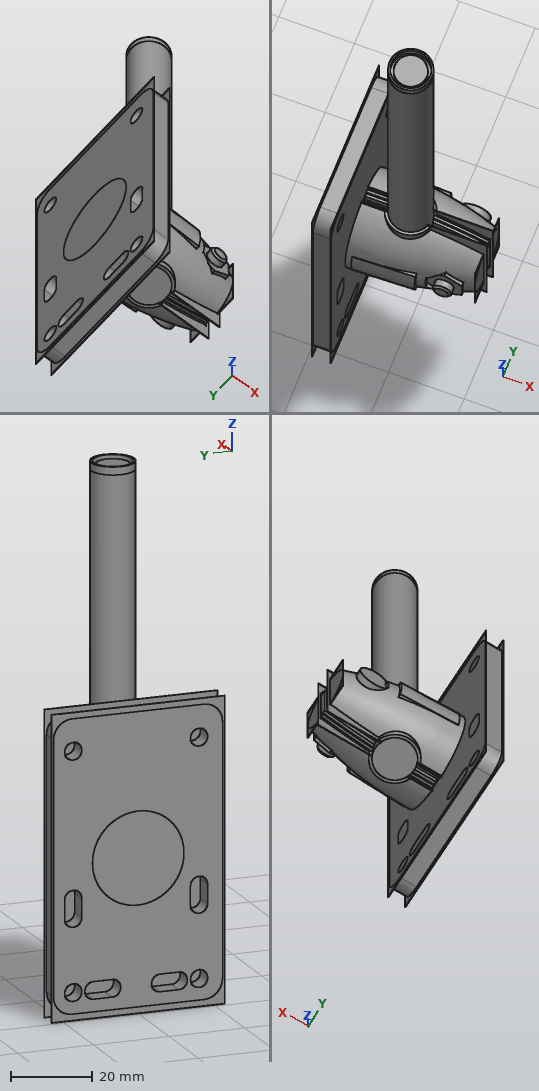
import cadquery as cq
import math

OVERALL_X = 38.2
OVERALL_Z = 137.5
SKIN = 0.1

SHEET_WIDTH = 45.8
SHEET_HEIGHT = 79.3
CORE_WIDTH = 44.7
CORE_HEIGHT = 76.0
CORE_CORNER = 5.0
PLATE_THICKNESS = 5.1
PLATE_CENTER_Z = SHEET_HEIGHT / 2

PATTERN_SHIFT_Y = 0.5
HOLE_DIAMETER = 4.5
HOLE_Y = 16.6
UPPER_HOLE_Z = 29.7
LOWER_HOLE_Z = -32.5
SLOT_LENGTH = 9.5
UPRIGHT_SLOT_Z = -10.9
LEVEL_SLOT_Y = 8.8
OPENING_DEPTH = PLATE_THICKNESS - SKIN

AXIS_Z = 40.0
SPIGOT_RADIUS = 12.1
CLAMP_BASE_RADIUS = 13.2
CLAMP_MID_X = 20.9
CLAMP_MID_RADIUS = 12.2
CLAMP_END_X = 37.4
CLAMP_END_RADIUS = 8.2
SLIT_WIDTH = 0.8
SLIT_STEPS = [(4.1, 0.8), (2.5, 1.6)]
FIN_SPACING = SLIT_STEPS[0][0]
FIN_HALF_HEIGHT = 13.7
PAD_START_X = 6.7
PAD_LENGTH = 16.5
PAD_HEIGHT = 7.7
PAD_START_RADIUS = 13.3
PAD_END_RADIUS = 12.8
COLLAR_RADIUS = 6.5

POST_X = 17.3
POST_RADIUS = 5.6
CAP_HEIGHT = 2.0
CAP_RIM = 0.5
CAP_CHANNEL_DEPTH = 1.6
CAP_BUTTON_RADIUS = 4.3
CAP_BUTTON_DEPTH = 0.8

BOLT_X = 30.1
BOLT_RADIUS = 2.5
BOLT_TIP_CHAMFER = 0.5
BOLT_TIP_Y = -12.2
HEAD_RADIUS = 4.1
HEAD_FACE_Y = 11.1
SEAT_Y = 7.3
NUT_ACROSS_FLATS = 9.1
NUT_FACE_Y = -9.9

POST_BOTTOM_Z = AXIS_Z - CLAMP_BASE_RADIUS
POST_TOP_Z = OVERALL_Z - CAP_HEIGHT


def box(x_range, y_range, z_range):
    """Axis-aligned box between the given pairs of limits."""
    corner = (x_range[0], y_range[0], z_range[0])
    size = (x_range[1] - x_range[0], y_range[1] - y_range[0], z_range[1] - z_range[0])
    return cq.Workplane("XY").box(*size, centered=False).translate(corner)


def cylinder_x(radius, x_start, x_end):
    plane = cq.Workplane("YZ", origin=(x_start, 0, AXIS_Z))
    return plane.circle(radius).extrude(x_end - x_start)


def cylinder_z(radius, z_start, z_end):
    plane = cq.Workplane("XY", origin=(POST_X, 0, z_start))
    return plane.circle(radius).extrude(z_end - z_start)


def bolt_cylinder(radius, y_start, y_end):
    """Cylinder on the bolt axis, running from y_start towards -Y."""
    plane = cq.Workplane("XZ", origin=(BOLT_X, y_start, AXIS_Z))
    return plane.circle(radius).extrude(y_start - y_end)


def bolt_shank():
    return bolt_cylinder(BOLT_RADIUS, SEAT_Y, BOLT_TIP_Y)


def nut_hexagon(y_end):
    """Hexagonal prism from the nut seat towards -Y, with two corners pointing up and down."""
    across_corners = NUT_ACROSS_FLATS / math.cos(math.radians(30))
    plane = cq.Workplane("XZ", origin=(BOLT_X, -SEAT_Y, AXIS_Z)).transformed(rotate=(0, 0, 90))
    return plane.polygon(6, across_corners).extrude(-SEAT_Y - y_end)


def make_post():
    return cylinder_z(POST_RADIUS, POST_BOTTOM_Z, POST_TOP_Z)


def make_cap():
    """Disc with a raised rim, a ring channel and a button set below the rim."""
    disc = cylinder_z(POST_RADIUS, POST_TOP_Z, OVERALL_Z)
    recess = cylinder_z(POST_RADIUS - CAP_RIM, OVERALL_Z - CAP_CHANNEL_DEPTH, OVERALL_Z)
    button = cylinder_z(CAP_BUTTON_RADIUS, POST_TOP_Z, OVERALL_Z - CAP_BUTTON_DEPTH)
    return disc.cut(recess).union(button)


def make_bolt():
    shank = bolt_shank().faces("<Y").chamfer(BOLT_TIP_CHAMFER)
    return shank.union(bolt_cylinder(HEAD_RADIUS, HEAD_FACE_Y, SEAT_Y))


def make_nut():
    return nut_hexagon(NUT_FACE_Y).cut(bolt_shank())


def turned(profile):
    """Solid of revolution about the clamp axis from a profile in X and radius."""
    return profile.revolve(360, (0, 0, 0), (1, 0, 0)).translate((0, 0, AXIS_Z))


def clamp_bulge(inset):
    """Bulged body, with its curved surface moved inwards by the inset."""
    return turned(
        cq.Workplane("XY")
        .moveTo(PLATE_THICKNESS, 0)
        .lineTo(PLATE_THICKNESS, CLAMP_BASE_RADIUS - inset)
        .threePointArc(
            (CLAMP_MID_X, CLAMP_MID_RADIUS - inset),
            (CLAMP_END_X, CLAMP_END_RADIUS - inset),
        )
        .lineTo(CLAMP_END_X, 0)
        .close()
    )


def clamp_pads():
    """Slightly tapered pads on both flanks."""
    pad_end_x = PAD_START_X + PAD_LENGTH
    taper = turned(
        cq.Workplane("XY")
        .moveTo(PAD_START_X, 0)
        .lineTo(PAD_START_X, PAD_START_RADIUS)
        .lineTo(pad_end_x, PAD_END_RADIUS)
        .lineTo(pad_end_x, 0)
        .close()
    )
    pad_z = (AXIS_Z - PAD_HEIGHT / 2, AXIS_Z + PAD_HEIGHT / 2)
    return taper.intersect(box((PAD_START_X, pad_end_x), (-PAD_START_RADIUS, PAD_START_RADIUS), pad_z))


def slit_slab(width):
    """Slab on the middle plane, over the whole length and height of the clamp in front of the plate."""
    slab_z = (AXIS_Z - FIN_HALF_HEIGHT, AXIS_Z + FIN_HALF_HEIGHT)
    return box((PLATE_THICKNESS, OVERALL_X), (-width / 2, width / 2), slab_z)


def stepped_slit():
    slit = slit_slab(SLIT_WIDTH)
    for width, depth in SLIT_STEPS:
        slit = slit.union(slit_slab(width).cut(clamp_bulge(depth)))
    return slit


def clamp_fins():
    """Thin sheets along both sides of the slit opening, standing out of the body."""
    return slit_slab(FIN_SPACING + 2 * SKIN).cut(slit_slab(FIN_SPACING))


def clamp_end_sheet():
    """Thin square sheet over the round free end."""
    sheet_x = (CLAMP_END_X, CLAMP_END_X + SKIN)
    sheet_z = (AXIS_Z - CLAMP_END_RADIUS, AXIS_Z + CLAMP_END_RADIUS)
    return box(sheet_x, (-CLAMP_END_RADIUS, CLAMP_END_RADIUS), sheet_z)


def make_clamp(bolt):
    spigot = cylinder_x(SPIGOT_RADIUS, 0, PLATE_THICKNESS)
    collar = cylinder_z(COLLAR_RADIUS, POST_BOTTOM_Z, AXIS_Z + CLAMP_BASE_RADIUS)
    clamp = spigot.union(clamp_bulge(0)).union(clamp_pads()).union(collar).union(clamp_end_sheet())
    clamp = clamp.cut(stepped_slit()).union(clamp_fins())
    post_bore = cylinder_z(POST_RADIUS, AXIS_Z - FIN_HALF_HEIGHT, AXIS_Z + FIN_HALF_HEIGHT)
    nut_pocket = nut_hexagon(-CLAMP_BASE_RADIUS)
    return clamp.cut(post_bore).cut(bolt).cut(nut_pocket)


def plate_sheet(x_start):
    plane = cq.Workplane("YZ", origin=(x_start, 0, PLATE_CENTER_Z))
    return plane.rect(SHEET_WIDTH, SHEET_HEIGHT).extrude(SKIN)


def plate_openings():
    """Four round holes and four slots, open at the back of the plate."""
    plane = cq.Workplane("YZ", origin=(0, PATTERN_SHIFT_Y, PLATE_CENTER_Z))
    hole_points = [(side * HOLE_Y, z) for side in (-1, 1) for z in (UPPER_HOLE_Z, LOWER_HOLE_Z)]
    upright_points = [(side * HOLE_Y, UPRIGHT_SLOT_Z) for side in (-1, 1)]
    level_points = [(side * LEVEL_SLOT_Y, LOWER_HOLE_Z) for side in (-1, 1)]
    holes = plane.pushPoints(hole_points).circle(HOLE_DIAMETER / 2).extrude(OPENING_DEPTH)
    upright = plane.pushPoints(upright_points).slot2D(SLOT_LENGTH, HOLE_DIAMETER, 90).extrude(OPENING_DEPTH)
    level = plane.pushPoints(level_points).slot2D(SLOT_LENGTH, HOLE_DIAMETER).extrude(OPENING_DEPTH)
    return holes.union(upright).union(level)


def make_plate():
    core = (
        cq.Workplane("YZ", origin=(0, 0, PLATE_CENTER_Z))
        .rect(CORE_WIDTH, CORE_HEIGHT)
        .extrude(PLATE_THICKNESS)
        .edges("|X")
        .fillet(CORE_CORNER)
    )
    plate = core.union(plate_sheet(0)).union(plate_sheet(PLATE_THICKNESS - SKIN))
    spigot_hole = cylinder_x(SPIGOT_RADIUS, 0, PLATE_THICKNESS)
    return plate.cut(spigot_hole).cut(plate_openings())


post = make_post()
cap = make_cap()
bolt = make_bolt()
nut = make_nut()
clamp = make_clamp(bolt)
plate = make_plate()

result = cq.Compound.makeCompound(
    [plate.val(), clamp.val(), post.val(), cap.val(), bolt.val(), nut.val()]
)